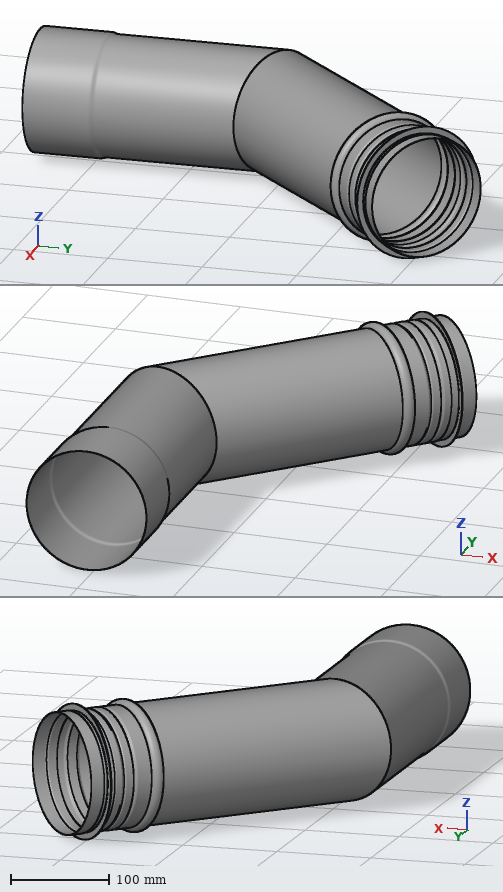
import cadquery as cq
import math


overall_length = 521.0
bend_angle = 45.0
pipe_radius = 126.5 / 2
wall = 0.5
upper_length = 320.5
bend_cosine = math.cos(math.radians(bend_angle))
bend_sine = math.sin(math.radians(bend_angle))
lower_length = overall_length - upper_length * bend_cosine - pipe_radius * bend_sine
mitre_angle = bend_angle / 2
mitre_overrun = pipe_radius

socket_radius = 130.0 / 2
socket_depth = 70.0
socket_shoulder_length = 7.0

bead_centre = upper_length - 76.5
bead_width = 14.0
bead_height = 5.0
groove_radius = 122.0 / 2
groove_shoulder_length = 4.0
inner_groove_start = upper_length - 54.0
inner_groove_end = upper_length - 35.0
outer_groove_start = upper_length - 29.5
outer_groove_end = upper_length - 13.5

flat_seal_radius = pipe_radius
flat_seal_start = inner_groove_start + groove_shoulder_length
flat_seal_end = inner_groove_end - groove_shoulder_length
flat_seal_fillet = 2.0

lip_seal_radius = 125.5 / 2
lip_seal_start = upper_length - 28.0
lip_seal_end = upper_length - 15.0
lip_seal_fillet = 1.5
lip_radius = 139.5 / 2
lip_thickness = 1.0
lip_centre = upper_length - 19.5


def add_shoulder(outline, radius_step, length):
    """Continue an axial line with an S-curve of two equal arcs that ends axial again."""
    half_step = (radius_step / 2, length / 2)
    return outline.tangentArcPoint(half_step).tangentArcPoint(half_step)


def add_groove(outline, start, end, inset):
    """Continue an outline along the pipe wall through a rolled groove; inset is the wall offset."""
    depth = pipe_radius - groove_radius
    outline = outline.lineTo(pipe_radius - inset, start)
    outline = add_shoulder(outline, -depth, groove_shoulder_length)
    outline = outline.lineTo(groove_radius - inset, end - groove_shoulder_length)
    return add_shoulder(outline, depth, groove_shoulder_length)


def revolve_to_axis(outline, end):
    """Close an outline along the Y axis from its given end and revolve it into a solid."""
    return outline.lineTo(0, end).close().revolve(360, (0, 0, 0), (0, 1, 0))


def lower_form(inset):
    """Solid bounded by the lower pipe's outside, or by its inside when inset is the wall."""
    top = lower_length + mitre_overrun
    outline = cq.Workplane("XY").lineTo(socket_radius - inset, 0)
    outline = outline.lineTo(socket_radius - inset, socket_depth)
    outline = add_shoulder(outline, pipe_radius - socket_radius, socket_shoulder_length)
    outline = outline.lineTo(pipe_radius - inset, top)
    return revolve_to_axis(outline, top)


def upper_form(inset):
    """Solid bounded by the straight upper pipe's outside, or by its inside when inset is the wall."""
    radius = pipe_radius - inset
    bead_half = bead_width / 2 - inset
    bead_top = (radius + bead_height, bead_centre)
    outline = cq.Workplane("XY").moveTo(0, -mitre_overrun).lineTo(radius, -mitre_overrun)
    outline = outline.lineTo(radius, bead_centre - bead_half)
    outline = outline.threePointArc(bead_top, (radius, bead_centre + bead_half))
    outline = add_groove(outline, inner_groove_start, inner_groove_end, inset)
    outline = add_groove(outline, outer_groove_start, outer_groove_end, inset)
    outline = outline.lineTo(radius, upper_length)
    return revolve_to_axis(outline, upper_length)


def place_upper(body):
    """Lean a body built along +Y from the origin and move it to the mitre centre."""
    return body.rotate((0, 0, 0), (0, 0, 1), -bend_angle).translate((0, lower_length, 0))


def space_past_mitre():
    """Block filling everything beyond the mitre plane, on the upper pipe's side."""
    size = 2 * overall_length
    block = cq.Workplane("XY").box(size, size, size).translate((0, size / 2, 0))
    return block.rotate((0, 0, 0), (0, 0, 1), -mitre_angle).translate((0, lower_length, 0))


def ring(radius, start, end):
    """Ring around the Y axis that reaches down to the groove floor."""
    return (
        cq.Workplane("XZ", origin=(0, start, 0))
        .circle(radius)
        .circle(groove_radius)
        .extrude(start - end)
    )


def rounded_ring(radius, start, end, fillet):
    return ring(radius, start, end).edges(cq.selectors.RadiusNthSelector(-1)).fillet(fillet)


lower_pipe = lower_form(0).cut(lower_form(wall)).cut(space_past_mitre())
upper_outside = upper_form(0)
upper_pipe = place_upper(upper_outside.cut(upper_form(wall))).intersect(space_past_mitre())

flat_seal_ring = rounded_ring(flat_seal_radius, flat_seal_start, flat_seal_end, flat_seal_fillet)
flat_seal = place_upper(flat_seal_ring)
lip = ring(lip_radius, lip_centre - lip_thickness / 2, lip_centre + lip_thickness / 2)
lip_seal_ring = rounded_ring(lip_seal_radius, lip_seal_start, lip_seal_end, lip_seal_fillet).union(lip)
lip_seal = place_upper(lip_seal_ring.cut(upper_outside))

result = cq.Compound.makeCompound([lower_pipe.val(), upper_pipe.val(), flat_seal.val(), lip_seal.val()])